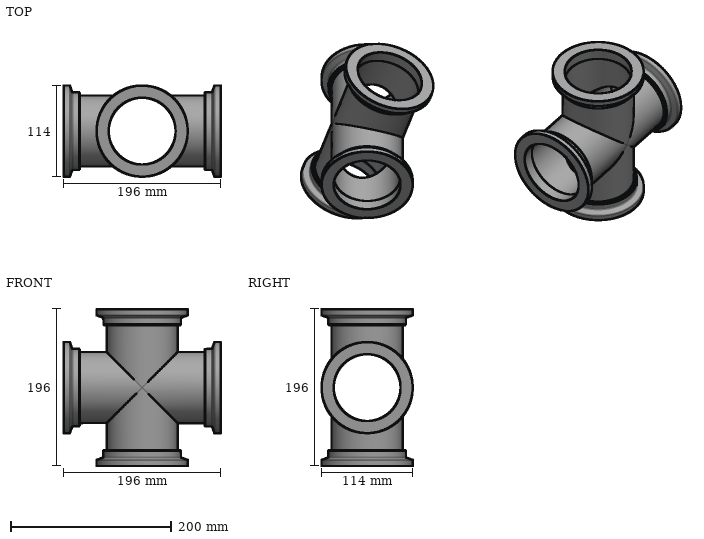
import cadquery as cq
import math

overall_length = 196.0

pipe_diameter = 88.9
bore_diameter = 83.0

rim_diameter = 114.0
collar_diameter = 97.0
flange_length = 20.5
rim_thickness = 7.9
taper_angle = 20.0
face_edge_chamfer = 0.4
taper_radius = 1.0
selection_margin = 0.1
collar_edge_chamfer = 1.5
pipe_end_depth = 15.0

face_distance = overall_length / 2
pipe_end_distance = face_distance - pipe_end_depth


def cross_of_cylinders(diameter):
    """Two equal through cylinders, along X and along Z, crossing at the origin."""
    length = 2 * pipe_end_distance
    along_x = cq.Workplane("YZ").circle(diameter / 2).extrude(length / 2, both=True)
    along_z = cq.Workplane("XY").circle(diameter / 2).extrude(length / 2, both=True)
    return along_x.union(along_z)


def make_pipe_cross():
    return cross_of_cylinders(pipe_diameter).cut(cross_of_cylinders(bore_diameter))


def make_flange():
    """Flange on the upper arm: half section in XZ revolved about the Z axis."""
    bore_radius = bore_diameter / 2
    pipe_radius = pipe_diameter / 2
    collar_radius = collar_diameter / 2
    rim_radius = rim_diameter / 2
    face_z = face_distance
    back_z = face_z - flange_length
    rim_back_z = face_z - rim_thickness
    taper_height = (rim_radius - collar_radius) * math.tan(math.radians(taper_angle))
    section = (
        cq.Workplane("XZ")
        .moveTo(bore_radius + face_edge_chamfer, face_z)
        .lineTo(rim_radius - face_edge_chamfer, face_z)
        .lineTo(rim_radius, face_z - face_edge_chamfer)
        .lineTo(rim_radius, rim_back_z)
        .lineTo(collar_radius, rim_back_z - taper_height)
        .lineTo(collar_radius, back_z + collar_edge_chamfer)
        .lineTo(collar_radius - collar_edge_chamfer, back_z)
        .lineTo(pipe_radius, back_z)
        .lineTo(pipe_radius, pipe_end_distance)
        .lineTo(bore_radius, pipe_end_distance)
        .lineTo(bore_radius, face_z - face_edge_chamfer)
        .close()
    )
    flange = section.revolve(360, (0, 0, 0), (0, 1, 0))
    taper_ends = cq.selectors.BoxSelector(
        (-rim_diameter, -rim_diameter, rim_back_z - taper_height - selection_margin),
        (rim_diameter, rim_diameter, rim_back_z + selection_margin),
    )
    return flange.edges("%CIRCLE").edges(taper_ends).fillet(taper_radius)


pipe_cross = make_pipe_cross()

flange_count = 4
flanges = []
for index in range(flange_count):
    turn = index * 360 / flange_count
    flanges.append(make_flange().rotate((0, 0, 0), (0, 1, 0), turn))

result = cq.Compound.makeCompound([pipe_cross.val(), *[flange.val() for flange in flanges]])